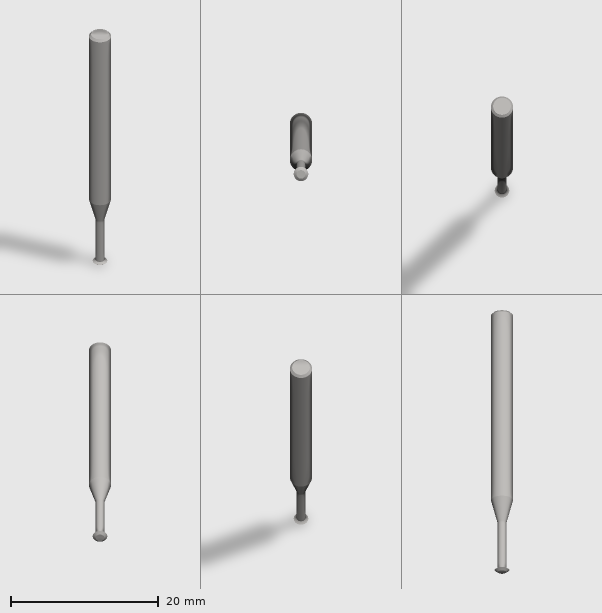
import cadquery as cq
import math

total_length = 38.0
shank_radius = 3.0 / 2
shank_bottom_z = 10.6
shank_chamfer = 0.3

neck_radius = 1.18 / 2
cone_half_angle = math.radians(15)
blend_radius = 1.0

rim_radius = 1.98 / 2
tip_radius = 1.18 / 2
rim_z = 0.3
neck_bottom_z = 0.55

blend_top_radius = neck_radius + blend_radius * (1 - math.cos(cone_half_angle))
cone_height = (shank_radius - blend_top_radius) / math.tan(cone_half_angle)
blend_top_z = shank_bottom_z - cone_height
blend_bottom_z = blend_top_z - blend_radius * math.sin(cone_half_angle)

half_turn = cone_half_angle / 2
blend_mid_radius = neck_radius + blend_radius * (1 - math.cos(half_turn))
blend_mid_z = blend_bottom_z + blend_radius * math.sin(half_turn)

profile = (
    cq.Workplane("XZ")
    .lineTo(tip_radius, 0)
    .lineTo(rim_radius, rim_z)
    .lineTo(neck_radius, neck_bottom_z)
    .lineTo(neck_radius, blend_bottom_z)
    .threePointArc((blend_mid_radius, blend_mid_z), (blend_top_radius, blend_top_z))
    .lineTo(shank_radius, shank_bottom_z)
    .lineTo(shank_radius, total_length - shank_chamfer)
    .lineTo(shank_radius - shank_chamfer, total_length)
    .lineTo(0, total_length)
    .close()
)

result = profile.revolve(360, (0, 0, 0), (0, 1, 0))